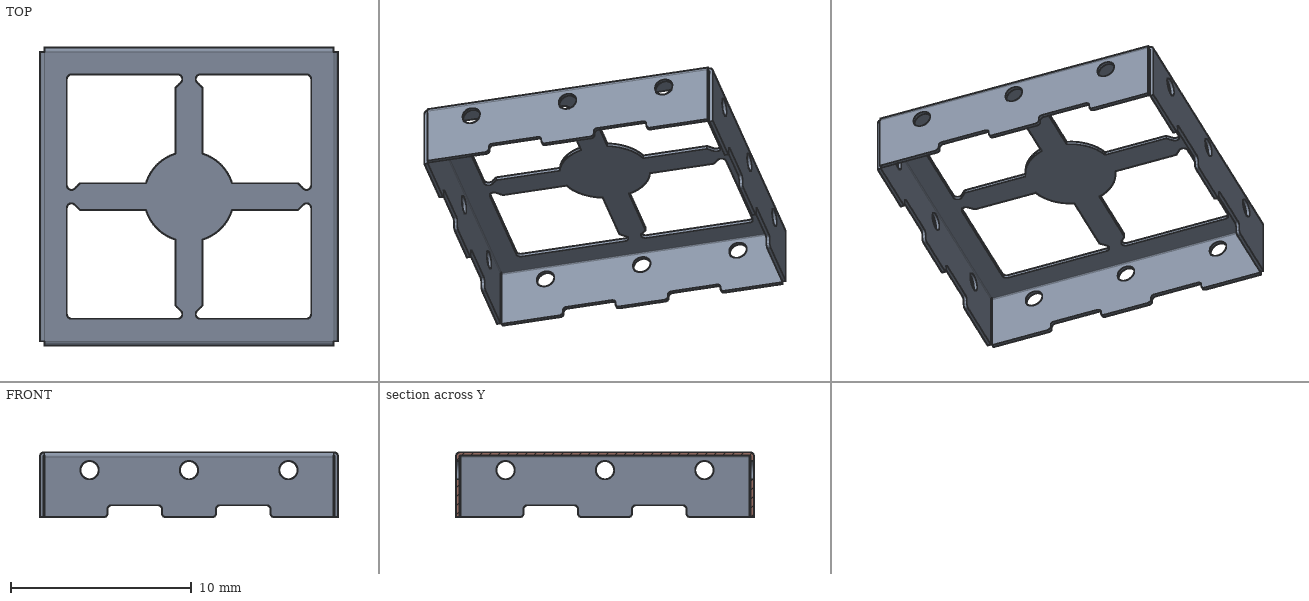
import cadquery as cq
import math

SIDE = 16.5
HEIGHT = 3.6

SHEET = 0.2
BEND_OUTER_RADIUS = 0.25
BEND_INNER_RADIUS = BEND_OUTER_RADIUS - SHEET
HALF_SIDE = SIDE / 2
HALF_FLAT = HALF_SIDE - BEND_OUTER_RADIUS

FRAME_WIDTH = 1.5
HALF_WINDOW = HALF_SIDE - FRAME_WIDTH
SPOKE_WIDTH = 1.5
NECK_WIDTH = 0.75
HUB_RADIUS = 2.5
WINDOW_CORNER_RADIUS = 0.25

HOLE_DIAMETER = 1.0
HOLE_SPACING = 5.5
HOLE_DEPTH_BELOW_TOP = 1.0
NOTCH_WIDTH = 3.0
FRONT_BACK_NOTCH_HEIGHT = 0.65
SIDE_NOTCH_HEIGHT = 0.5
NOTCH_OFFSET = 3.0
NOTCH_RADIUS = 0.2

WALL_NOTCH_HEIGHTS = {
    0: FRONT_BACK_NOTCH_HEIGHT,
    90: SIDE_NOTCH_HEIGHT,
    180: FRONT_BACK_NOTCH_HEIGHT,
    270: SIDE_NOTCH_HEIGHT,
}


def make_top_plate():
    """Flat square sheet bounded by the four bend lines."""
    plate = cq.Workplane("XY").box(2 * HALF_FLAT, 2 * HALF_FLAT, SHEET, centered=(True, True, False))
    return plate.translate((0, 0, HEIGHT - SHEET))


def make_window():
    """Cutter for the +X +Y window, which narrows the spokes to necks beside the frame."""
    half_spoke = SPOKE_WIDTH / 2
    half_neck = NECK_WIDTH / 2
    r = WINDOW_CORNER_RADIUS
    diagonal = r * math.sqrt(0.5)
    arc_center_across = half_neck + r
    arc_center_along = HALF_WINDOW - r
    arc_end_across = arc_center_across - diagonal
    arc_end_along = arc_center_along - diagonal
    flank_end = arc_end_along - (half_spoke - arc_end_across)
    window = (
        cq.Workplane("XY")
        .moveTo(half_spoke, half_spoke)
        .lineTo(flank_end, half_spoke)
        .lineTo(arc_end_along, arc_end_across)
        .threePointArc((arc_center_along, half_neck), (HALF_WINDOW, arc_center_across))
        .lineTo(HALF_WINDOW, HALF_WINDOW - r)
        .threePointArc(
            (HALF_WINDOW - r + diagonal, HALF_WINDOW - r + diagonal),
            (HALF_WINDOW - r, HALF_WINDOW),
        )
        .lineTo(arc_center_across, HALF_WINDOW)
        .threePointArc((half_neck, arc_center_along), (arc_end_across, arc_end_along))
        .lineTo(half_spoke, flank_end)
        .close()
        .extrude(HEIGHT)
    )
    hub = cq.Workplane("XY").circle(HUB_RADIUS).extrude(HEIGHT)
    return window.cut(hub)


def make_notch(center_x, height):
    """Cutter for a bottom notch: rounded inner corners, flared rounded mouth."""
    half_width = NOTCH_WIDTH / 2
    diagonal = NOTCH_RADIUS * (1 - math.sqrt(0.5))
    r = NOTCH_RADIUS
    notch = (
        cq.Workplane("XZ")
        .moveTo(-half_width - r, 0)
        .threePointArc((-half_width - diagonal, diagonal), (-half_width, r))
        .lineTo(-half_width, height - r)
        .threePointArc((-half_width + diagonal, height - diagonal), (-half_width + r, height))
        .lineTo(half_width - r, height)
        .threePointArc((half_width - diagonal, height - diagonal), (half_width, height - r))
        .lineTo(half_width, r)
        .threePointArc((half_width + diagonal, diagonal), (half_width + r, 0))
        .close()
        .extrude(HALF_SIDE)
    )
    return notch.translate((center_x, 0, 0))


def make_wall(notch_height):
    """Wall on the -Y side with its bend, holes and bottom notches."""
    diag = math.sqrt(0.5)
    bend_y = -HALF_FLAT
    bend_z = HEIGHT - BEND_OUTER_RADIUS
    wall = (
        cq.Workplane("YZ")
        .moveTo(-HALF_SIDE, 0)
        .lineTo(-HALF_SIDE, bend_z)
        .threePointArc(
            (bend_y - BEND_OUTER_RADIUS * diag, bend_z + BEND_OUTER_RADIUS * diag),
            (bend_y, HEIGHT),
        )
        .lineTo(bend_y, HEIGHT - SHEET)
        .threePointArc(
            (bend_y - BEND_INNER_RADIUS * diag, bend_z + BEND_INNER_RADIUS * diag),
            (-HALF_SIDE + SHEET, bend_z),
        )
        .lineTo(-HALF_SIDE + SHEET, 0)
        .close()
        .extrude(HALF_FLAT, both=True)
    )
    holes = (
        cq.Workplane("XZ")
        .pushPoints([(x, HEIGHT - HOLE_DEPTH_BELOW_TOP) for x in (-HOLE_SPACING, 0, HOLE_SPACING)])
        .circle(HOLE_DIAMETER / 2)
        .extrude(HALF_SIDE)
    )
    wall = wall.cut(holes)
    for center_x in (-NOTCH_OFFSET, NOTCH_OFFSET):
        wall = wall.cut(make_notch(center_x, notch_height))
    return wall


def make_cover():
    """Top plate with four windows and four bent walls."""
    cover = make_top_plate()
    window = make_window()
    for angle, notch_height in WALL_NOTCH_HEIGHTS.items():
        wall = make_wall(notch_height)
        cover = cover.cut(window.rotate((0, 0, 0), (0, 0, 1), angle))
        cover = cover.union(wall.rotate((0, 0, 0), (0, 0, 1), angle))
    return cover


result = make_cover()